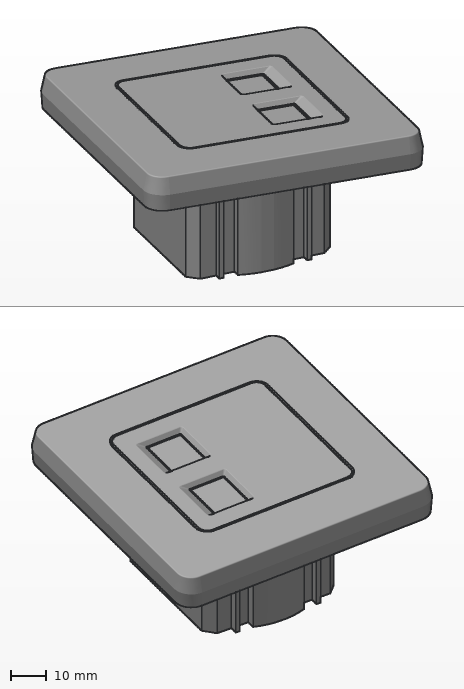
import cadquery as cq
import math

plate_width = 84.0
total_height = 42.0

plate_thickness = 10.0
widest_depth = 5.1
plate_corner_radius = 5.7
top_inset = 1.1
top_edge_radius = 0.4
bottom_inset = 0.3

groove_outer_width = 51.4
groove_width = 0.7
groove_depth = 0.75
groove_corner_radius = 3.7

pocket_size = 15.45
pocket_center_x = 11.25
pocket_center_y = 12.2
pocket_corner_radius = 0.75
pocket_lip_radius = 0.3
pocket_depth = 2.0
pocket_floor_step = 0.5
floor_width = 13.4
floor_front_y = 5.6
floor_back_y = 16.7
wall_foot_back_y = 17.05
floor_corner_radius = 0.3

box_width = 43.6
box_corner_chamfer = 3.1
box_back_rise = 1.8

rib_outer_x = 24.1
rib_inner_y = 12.6
rib_thickness = 1.35
bulge_radius = 25.7
bulge_width = 16.8
bulge_flat_width = 3.8

catch_reach = 0.4
catch_width = 3.5
catch_top_depth = 10.8
catch_height = 3.7

plate_bottom_z = -plate_thickness
bulge_flat_x = math.sqrt(bulge_radius**2 - (bulge_flat_width / 2) ** 2)


def rounded_rect(width, front_y, back_y, radius, z):
    """Rectangle with rounded corners at level z, centred on X and spanning the given Y range."""
    location = cq.Location(cq.Vector(0, (front_y + back_y) / 2, z))
    return cq.Sketch().rect(width, back_y - front_y).vertices().fillet(radius).moved(location)


def rounded_square(width, radius, z):
    """Square with rounded corners at level z, centred on the Z axis."""
    return rounded_rect(width, -width / 2, width / 2, radius, z)


def loft_between(lower, upper):
    """Straight-walled solid between two outlines at different levels."""
    return cq.Workplane("XY").placeSketch(lower, upper).loft(ruled=True)


def make_plate():
    """Plate that narrows upward and downward from its widest level, with a rounded top edge."""
    widest = rounded_square(plate_width, plate_corner_radius, -widest_depth)
    top = rounded_square(plate_width - 2 * top_inset, plate_corner_radius - top_inset, 0)
    bottom = rounded_square(plate_width - 2 * bottom_inset, plate_corner_radius - bottom_inset, plate_bottom_z)
    plate = loft_between(widest, top).union(loft_between(bottom, widest))
    return plate.faces(">Z").edges().fillet(top_edge_radius)


def make_groove():
    """V-shaped ring: the gap between two square frusta that meet at its bottom."""
    middle_width = groove_outer_width - groove_width
    inner_width = groove_outer_width - 2 * groove_width
    middle_radius = groove_corner_radius - groove_width / 2
    outer = rounded_square(groove_outer_width, groove_corner_radius, 0)
    middle = rounded_square(middle_width, middle_radius, -groove_depth)
    inner = rounded_square(inner_width, groove_corner_radius - groove_width, 0)
    return loft_between(middle, outer).cut(loft_between(middle, inner))


def make_pocket():
    """Pocket with four sloping walls that end in a short step above the floor."""
    mouth_front_y = pocket_center_y - pocket_size / 2
    mouth_back_y = pocket_center_y + pocket_size / 2
    step_z = pocket_floor_step - pocket_depth
    mouth = rounded_rect(pocket_size, mouth_front_y, mouth_back_y, pocket_corner_radius, 0)
    wall_foot = rounded_rect(floor_width, floor_front_y, wall_foot_back_y, floor_corner_radius, step_z)
    floor = rounded_rect(floor_width, floor_front_y, floor_back_y, floor_corner_radius, -pocket_depth)
    step = cq.Workplane("XY").placeSketch(floor).extrude(pocket_floor_step)
    return loft_between(wall_foot, mouth).union(step)


def make_box():
    """Chamfered box with ribs and bulges on both sides and a sloping back."""
    box_height = total_height - plate_thickness
    base = cq.Workplane("XY").workplane(offset=-total_height)
    box = base.rect(box_width, box_width).extrude(box_height).edges("|Z").chamfer(box_corner_chamfer)
    rib_y = rib_inner_y + rib_thickness / 2
    for y in (-rib_y, rib_y):
        box = box.union(base.center(0, y).rect(2 * rib_outer_x, rib_thickness).extrude(box_height))
    bulge_slab = base.rect(2 * bulge_flat_x, bulge_width).extrude(box_height)
    box = box.union(base.circle(bulge_radius).extrude(box_height).intersect(bulge_slab))

    half = box_width / 2
    slope_cut = (
        cq.Workplane("YZ")
        .polyline([(-half, -total_height), (half, -total_height), (half, -total_height + box_back_rise)])
        .close()
        .extrude(plate_width / 2, both=True)
    )
    return box.cut(slope_cut)


def make_catch():
    """Downward-narrowing cone whose upper edge stands proud of the bulge and fades out downward."""
    half_width = catch_width / 2
    radius = (catch_reach**2 + half_width**2) / (2 * catch_reach)
    axis_x = bulge_flat_x + catch_reach - radius
    top_center = cq.Vector(axis_x, 0, -catch_top_depth)
    downward = cq.Vector(0, 0, -1)
    cone = cq.Solid.makeCone(radius, radius - catch_reach, catch_height, top_center, downward)
    return cq.Workplane(cone)


def add_pockets(plate):
    """Cut both pockets and round over their mouths."""
    for center_x in (-pocket_center_x, pocket_center_x):
        plate = plate.cut(make_pocket().translate((center_x, 0, 0)))
    mouths = plate.faces(">Z").val().innerWires()
    mouth_edges = [edge for mouth in mouths for edge in mouth.Edges()]
    return plate.newObject(mouth_edges).fillet(pocket_lip_radius)


face_plate = add_pockets(make_plate()).cut(make_groove())
catch = make_catch()
result = face_plate.union(make_box()).union(catch).union(catch.mirror("YZ"))